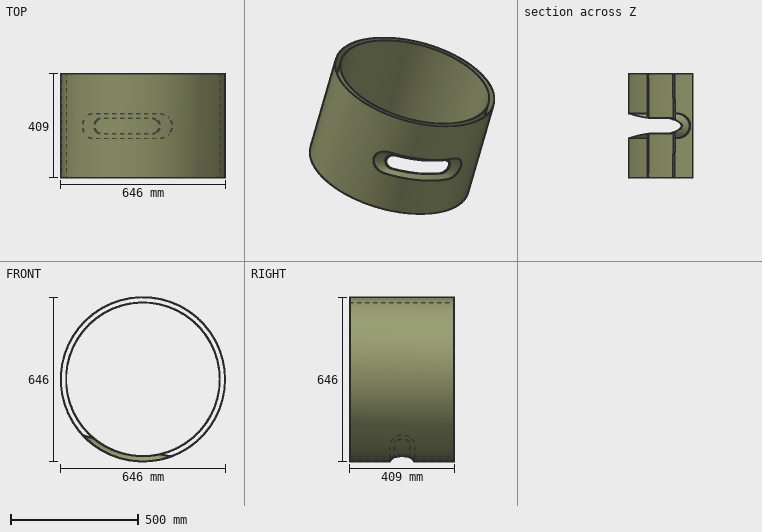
import cadquery as cq

outer_diameter = 646.0
length = 409.0
wall = 1.5
sleeve_pitch = 20.5
outer_radius = outer_diameter / 2
inner_radius = outer_radius - sleeve_pitch

slot_tilt = 13.4
outer_slot_length = 364.5
outer_slot_width = 99.0
inner_slot_length = 261.0
inner_slot_width = 61.5
bore_radius = inner_radius - wall


def cylinder(radius):
    """Solid cylinder along Y, centred on the origin, with its seam on the +X side."""
    return cq.Workplane("XZ", origin=(0, length / 2, 0)).circle(radius).extrude(length)


def sleeve(radius):
    """Thin tube with the given outside radius."""
    return cylinder(radius).cut(cylinder(radius - wall))


def slot_patch(radius, slot_length, slot_width):
    """Slot-shaped piece of a cylinder surface below the axis."""
    prism = cq.Workplane("XY").slot2D(slot_length, slot_width).extrude(-outer_diameter)
    return cylinder(radius).intersect(prism).faces("%CYLINDER").faces("<Z").val()


def ordered_edges(patch):
    """The two long edges and two round ends of a patch, in a fixed order of position."""
    def position(edge):
        middle = edge.Center()
        return round(middle.y, 3), round(middle.x, 3)
    return sorted(patch.outerWire().Edges(), key=position)


def funnel(clearance):
    """Solid filling the slot, narrowed all around by the given clearance."""
    inset = 2 * clearance
    outer_patch = slot_patch(outer_radius, outer_slot_length - inset, outer_slot_width - inset)
    inner_patch = slot_patch(bore_radius, inner_slot_length - inset, inner_slot_width - inset)
    sides = [
        cq.Face.makeRuledSurface(outer_edge, inner_edge)
        for outer_edge, inner_edge in zip(ordered_edges(outer_patch), ordered_edges(inner_patch))
    ]
    shell = cq.Shell.makeShell([outer_patch, inner_patch, *sides])
    solid = cq.Workplane(cq.Solid.makeSolid(shell).fix())
    return solid.rotate((0, 0, 0), (0, 1, 0), slot_tilt)


slot_space = funnel(0)
outer_sleeve = sleeve(outer_radius).cut(slot_space)
inner_sleeve = sleeve(inner_radius).cut(slot_space)
collar = slot_space.cut(funnel(wall))

result = cq.Compound.makeCompound([
    outer_sleeve.solids().val(),
    inner_sleeve.solids().val(),
    collar.solids().val(),
])